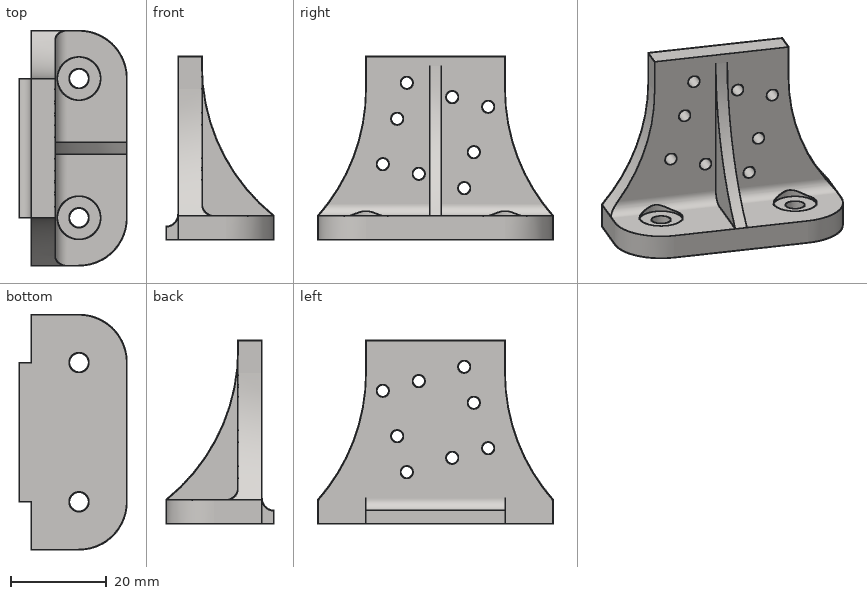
import cadquery as cq
import math


foot_length = 20.0
foot_width = 49.0
foot_thickness = 5.0
foot_corner_radius = foot_length / 2

total_height = 38.2
plate_thickness = foot_thickness
plate_width = 29.0
inner_fillet_radius = 2.5
flare_radius = 40.0

rib_thickness = 2.5

ledge_depth = 2.5
ledge_height = 2.8
ledge_width = plate_width

screw_hole_diameter = 4.0
counterbore_diameter = 9.0
counterbore_depth = 0.5
screw_x = foot_length / 2
screw_spacing = plate_width

plate_hole_diameter = 2.5
pattern_center_z = 21.75
pattern_offsets = [(11.0, 6.0), (3.5, 8.0)]
holes_per_pattern = 4


def flare_rise(run):
    """Height over which a curve that ends vertical at the top moves sideways by run."""
    return math.sqrt(flare_radius**2 - (flare_radius - run) ** 2)


def flare_midpoint(run):
    """Sideways distance from the vertical end, and height, of a point halfway up the curve."""
    rise = flare_rise(run)
    offset = flare_radius - math.sqrt(flare_radius**2 - (rise / 2) ** 2)
    return offset, foot_thickness + rise / 2


def make_bracket():
    """L-shaped body with a filleted inner corner, rounded foot corners and flared wings."""
    body = (
        cq.Workplane("XZ")
        .polyline([
            (0, 0),
            (foot_length, 0),
            (foot_length, foot_thickness),
            (plate_thickness, foot_thickness),
            (plate_thickness, total_height),
            (0, total_height),
        ])
        .close()
        .extrude(foot_width / 2, both=True)
    )
    inner_corner = cq.selectors.NearestToPointSelector((plate_thickness, 0, foot_thickness))
    body = body.edges("|Y").edges(inner_corner).fillet(inner_fillet_radius)
    body = body.edges("|Z and >X").fillet(foot_corner_radius)
    return body.intersect(make_wing_outline())


def make_wing_outline():
    """Silhouette of the plate and foot across the width, as deep as the foot."""
    half_foot = foot_width / 2
    half_plate = plate_width / 2
    run = half_foot - half_plate
    flare_top = foot_thickness + flare_rise(run)
    mid_offset, mid_z = flare_midpoint(run)
    return (
        cq.Workplane("YZ")
        .moveTo(-half_foot, 0)
        .lineTo(half_foot, 0)
        .lineTo(half_foot, foot_thickness)
        .threePointArc((half_plate + mid_offset, mid_z), (half_plate, flare_top))
        .lineTo(half_plate, total_height)
        .lineTo(-half_plate, total_height)
        .lineTo(-half_plate, flare_top)
        .threePointArc((-half_plate - mid_offset, mid_z), (-half_foot, foot_thickness))
        .close()
        .extrude(foot_length)
    )


def make_rib():
    """Curved rib from the tip of the foot up the back of the plate."""
    run = foot_length - plate_thickness
    rib_top = foot_thickness + flare_rise(run)
    mid_offset, mid_z = flare_midpoint(run)
    return (
        cq.Workplane("XZ")
        .moveTo(0, 0)
        .lineTo(foot_length, 0)
        .lineTo(foot_length, foot_thickness)
        .threePointArc((plate_thickness + mid_offset, mid_z), (plate_thickness, rib_top))
        .lineTo(0, rib_top)
        .close()
        .extrude(rib_thickness / 2, both=True)
    )


def make_ledge():
    """Ledge whose top sweeps up into the mounting face in a quarter-round cove."""
    cove_radius = ledge_depth
    cove_middle = cove_radius * math.sqrt(0.5)
    cove_top = ledge_height + cove_radius
    return (
        cq.Workplane("XZ")
        .moveTo(0, 0)
        .lineTo(-ledge_depth, 0)
        .lineTo(-ledge_depth, ledge_height)
        .threePointArc((-ledge_depth + cove_middle, cove_top - cove_middle), (0, cove_top))
        .close()
        .extrude(ledge_width / 2, both=True)
    )


def make_screw_holes():
    """Counterbored through holes; the counterbore also clears the inner fillet above it."""
    centers = [(screw_x, side * screw_spacing / 2) for side in (-1, 1)]
    holes = cq.Workplane("XY").pushPoints(centers).circle(screw_hole_diameter / 2).extrude(foot_thickness)
    counterbores = (
        cq.Workplane("XY", origin=(0, 0, foot_thickness - counterbore_depth))
        .pushPoints(centers)
        .circle(counterbore_diameter / 2)
        .extrude(counterbore_depth + inner_fillet_radius)
    )
    return holes.union(counterbores)


def make_plate_holes():
    """Through holes of both square patterns in the plate."""
    centers = []
    for y, z in pattern_offsets:
        for _ in range(holes_per_pattern):
            centers.append((y, z))
            y, z = -z, y
    return (
        cq.Workplane("YZ", origin=(0, 0, pattern_center_z))
        .pushPoints(centers)
        .circle(plate_hole_diameter / 2)
        .extrude(plate_thickness)
    )


result = (
    make_bracket()
    .union(make_rib())
    .union(make_ledge())
    .cut(make_screw_holes())
    .cut(make_plate_holes())
)